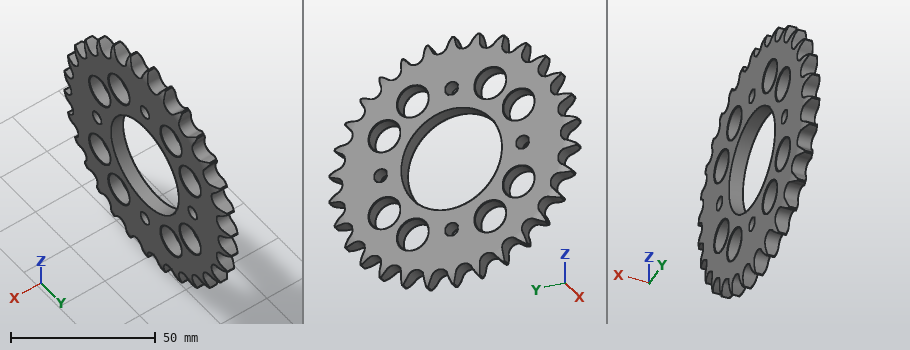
import cadquery as cq
import math

thickness = 5.3
tip_radius = 48.3
tooth_count = 30

pitch_radius = 45.5
seat_radius = 3.2
flank_lean_angle = 20.0
tip_half_width = 0.3

relief_start_radius = 43.6
crest_thickness = 2.8

bore_diameter = 39.1
bolt_hole_diameter = 5.0
bolt_circle_radius = 27.6
bolt_hole_angles = range(0, 360, 90)
lightening_hole_diameter = 12.0
lightening_circle_radius = 30.1
lightening_hole_angles = [30, 60, 120, 150, 210, 240, 300, 330]
lightening_hole_chamfer = 0.24

half_thickness = thickness / 2
tooth_angle = 360 / tooth_count


def polar(radius, degrees):
    """Point at a radius and an angle measured from the first local axis."""
    angle = math.radians(degrees)
    return radius * math.cos(angle), radius * math.sin(angle)


def mirrored(point):
    """The same point on the other side of the gap centreline."""
    return point[0], -point[1]


def roller_gap():
    """Cutter for the space between two teeth, centred on the Y axis."""
    seat_bottom = (pitch_radius - seat_radius, 0)
    end_y, end_z = polar(seat_radius, 90 + flank_lean_angle)
    seat_end = (pitch_radius + end_y, end_z)

    crest_half_angle = math.degrees(math.asin(tip_half_width / tip_radius))
    gap_half_angle = tooth_angle / 2 - crest_half_angle
    crest_corner = polar(tip_radius, gap_half_angle)
    outer_corner = polar(tip_radius + seat_radius, gap_half_angle)

    chord_y = crest_corner[0] - seat_end[0]
    chord_z = crest_corner[1] - seat_end[1]
    chord_length = math.hypot(chord_y, chord_z)
    chord_angle = math.atan2(chord_z, chord_y)
    turn = chord_angle - math.radians(flank_lean_angle)
    bulge = chord_length / 2 * math.tan(turn / 2)
    flank_middle = (
        (seat_end[0] + crest_corner[0]) / 2 + bulge * math.sin(chord_angle),
        (seat_end[1] + crest_corner[1]) / 2 - bulge * math.cos(chord_angle),
    )

    return (
        cq.Workplane("YZ", origin=(-half_thickness, 0, 0))
        .moveTo(*mirrored(outer_corner))
        .lineTo(*mirrored(crest_corner))
        .threePointArc(mirrored(flank_middle), mirrored(seat_end))
        .threePointArc(seat_bottom, seat_end)
        .threePointArc(flank_middle, crest_corner)
        .lineTo(*outer_corner)
        .close()
        .extrude(thickness)
    )


def relieved_blank():
    """Solid disc whose rim narrows to the crest along arcs tangent to the faces."""
    relief_height = tip_radius - relief_start_radius
    crest_half = crest_thickness / 2
    relief_depth = half_thickness - crest_half
    relief_radius = (relief_height**2 + relief_depth**2) / (2 * relief_depth)
    half_sweep = math.asin(relief_height / relief_radius) / 2
    middle_x = half_thickness - relief_radius * (1 - math.cos(half_sweep))
    middle_r = relief_start_radius + relief_radius * math.sin(half_sweep)

    return (
        cq.Workplane("XY")
        .moveTo(-half_thickness, 0)
        .lineTo(-half_thickness, relief_start_radius)
        .threePointArc((-middle_x, middle_r), (-crest_half, tip_radius))
        .lineTo(crest_half, tip_radius)
        .threePointArc((middle_x, middle_r), (half_thickness, relief_start_radius))
        .lineTo(half_thickness, 0)
        .close()
        .revolve(360, (0, 0, 0), (1, 0, 0))
    )


def round_hole(diameter, circle_radius=0, degrees=0):
    """Through-hole cutter along X at a place on a hole circle."""
    return (
        cq.Workplane("YZ", origin=(-half_thickness, 0, 0))
        .center(*polar(circle_radius, degrees))
        .circle(diameter / 2)
        .extrude(thickness)
    )


def chamfered_hole(degrees):
    """Lightening-hole cutter that flares at both faces."""
    hole_radius = lightening_hole_diameter / 2
    flare_radius = hole_radius + lightening_hole_chamfer
    straight_end = half_thickness - lightening_hole_chamfer
    centre_y, centre_z = polar(lightening_circle_radius, degrees)
    return (
        cq.Workplane("XY")
        .moveTo(-half_thickness, 0)
        .lineTo(-half_thickness, flare_radius)
        .lineTo(-straight_end, hole_radius)
        .lineTo(straight_end, hole_radius)
        .lineTo(half_thickness, flare_radius)
        .lineTo(half_thickness, 0)
        .close()
        .revolve(360, (0, 0, 0), (1, 0, 0))
        .translate((0, centre_y, centre_z))
    )


result = relieved_blank().cut(round_hole(bore_diameter))

for angle in bolt_hole_angles:
    result = result.cut(round_hole(bolt_hole_diameter, bolt_circle_radius, angle))

for angle in lightening_hole_angles:
    result = result.cut(chamfered_hole(angle))

gap = roller_gap()
for index in range(tooth_count):
    result = result.cut(gap.rotate((0, 0, 0), (1, 0, 0), index * tooth_angle))